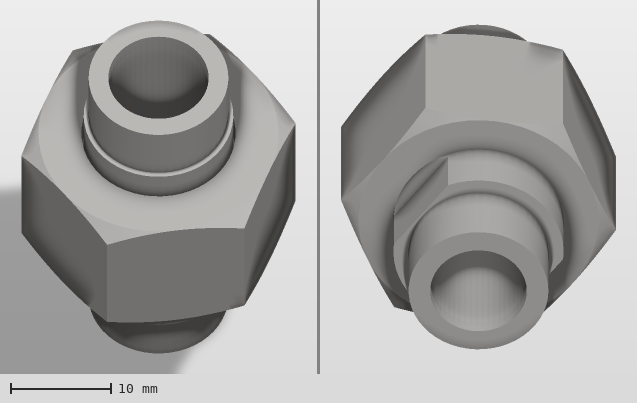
import cadquery as cq
import math

total_height = 38.0
lower_shoulder_z = 7.15
flat_top_z = 12.3
nut_bottom_z = 12.8
joint_z = 20.9
lip_bottom_z = 25.08
nut_top_z = 28.35
collar_top_z = 31.43

across_flats = 24.0
across_corners = across_flats / math.cos(math.radians(30))
corner_chamfer_angle = 30.0
lip_bore_radius = 7.7

tube_radius = 7.0
collar_radius = 7.5
tail_bore_radius = 5.0
body_bore_radius = 4.83

body_radius = 8.5
flat_half_width = 7.25
flat_run_out = body_radius - flat_half_width


def cylinder(radius, bottom_z, top_z):
    return cq.Workplane("XY").workplane(offset=bottom_z).circle(radius).extrude(top_z - bottom_z)


def corner_chamfer_envelope():
    """Round blank whose conical ends bevel the hexagon corners."""
    flat_radius = across_flats / 2
    corner_radius = across_corners / 2
    drop = (corner_radius - flat_radius) * math.tan(math.radians(corner_chamfer_angle))
    return (
        cq.Workplane("XZ")
        .moveTo(0, nut_bottom_z)
        .lineTo(flat_radius, nut_bottom_z)
        .lineTo(corner_radius, nut_bottom_z + drop)
        .lineTo(corner_radius, nut_top_z - drop)
        .lineTo(flat_radius, nut_top_z)
        .lineTo(0, nut_top_z)
        .close()
        .revolve(360, (0, 0, 0), (0, 1, 0))
    )


def make_nut():
    """Hexagonal nut with an inward lip at the top that holds the tailpiece flange."""
    hexagon = (
        cq.Workplane("XY")
        .workplane(offset=nut_bottom_z)
        .polygon(6, across_corners)
        .extrude(nut_top_z - nut_bottom_z)
    )
    nut = hexagon.intersect(corner_chamfer_envelope())
    nut = nut.cut(cylinder(body_radius, nut_bottom_z, lip_bottom_z))
    return nut.cut(cylinder(lip_bore_radius, lip_bottom_z, nut_top_z))


def make_tailpiece():
    """Upper tube with a collar and a flange trapped under the nut lip."""
    tailpiece = cylinder(body_radius, joint_z, lip_bottom_z)
    tailpiece = tailpiece.union(cylinder(collar_radius, lip_bottom_z, collar_top_z))
    tailpiece = tailpiece.union(cylinder(tube_radius, collar_top_z, total_height))
    return tailpiece.cut(cylinder(tail_bore_radius, joint_z, total_height))


def wrench_flat_cutter(side):
    """Material removed for one flat, on the +Y (side = 1) or -Y (side = -1) side."""
    return (
        cq.Workplane("YZ")
        .moveTo(side * flat_half_width, lower_shoulder_z)
        .lineTo(side * body_radius, lower_shoulder_z)
        .lineTo(side * body_radius, flat_top_z + flat_run_out)
        .lineTo(side * flat_half_width, flat_top_z)
        .close()
        .extrude(body_radius, both=True)
    )


def make_lower_body():
    """Lower tube and the round body with two wrench flats that enters the nut."""
    body = cylinder(body_radius, lower_shoulder_z, joint_z)
    for side in (-1, 1):
        body = body.cut(wrench_flat_cutter(side))
    body = body.union(cylinder(tube_radius, 0, lower_shoulder_z))
    return body.cut(cylinder(body_bore_radius, 0, joint_z))


nut = make_nut()
tailpiece = make_tailpiece()
lower_body = make_lower_body()

result = cq.Compound.makeCompound([nut.solids().val(), tailpiece.solids().val(), lower_body.solids().val()])